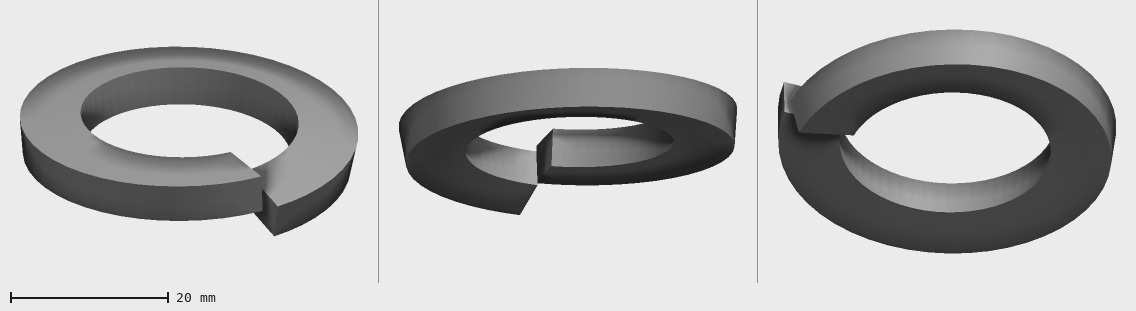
import cadquery as cq
import math

outer_radius = 21.5
bar_width = 7.75
bar_thickness = 5.0
pitch = bar_thickness
upper_end_angle = 4.8
lower_end_angle = 1.5

turn_angle = 360.0 - upper_end_angle - lower_end_angle
drop = pitch * turn_angle / 360.0
lead_slope = pitch / (2.0 * math.pi * outer_radius)


def coil_bar():
    """Coil the bar upwards from its upper end, upside down, starting on +X."""
    path = cq.Wire.makeHelix(pitch, drop, outer_radius)
    end_plane = cq.Plane(
        origin=(outer_radius, 0, 0),
        xDir=(-1, 0, 0),
        normal=(0, 1, lead_slope),
    )
    section = cq.Workplane(end_plane).rect(bar_width, bar_thickness, centered=False)
    return section.sweep(path, isFrenet=False)


def upper_end_trim():
    """Block whose tilted face squares off the upper end parallel to X."""
    end_y = -outer_radius * math.sin(math.radians(upper_end_angle))
    trim_plane = cq.Plane(
        origin=(outer_radius, end_y, 0),
        xDir=(1, 0, 0),
        normal=(0, 1, lead_slope),
    )
    trim_side = 4.0 * bar_width
    return cq.Workplane(trim_plane).rect(trim_side, trim_side).extrude(-end_y)


coil = coil_bar().rotate((0, 0, 0), (0, 0, 1), upper_end_angle)
washer = coil.rotate((0, 0, 0), (1, 0, 0), 180)
result = washer.cut(upper_end_trim())